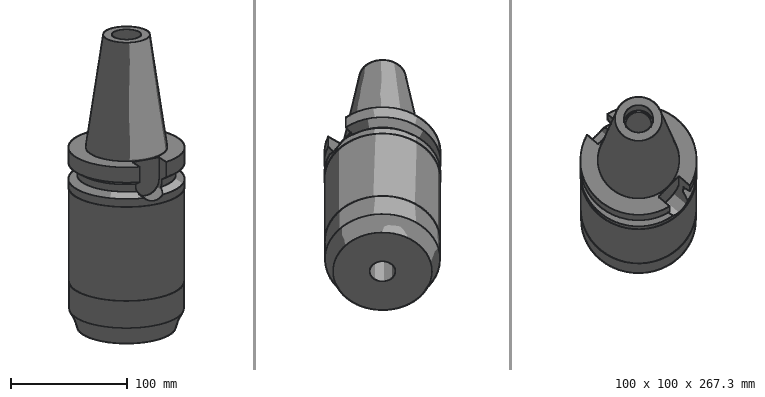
import cadquery as cq

total_height = 267.3
taper_length = 101.8
flange_top = 164.0
flange_bottom = 150.2
neck_top = 145.7
neck_bottom = 139.0
band_top = 135.3
band_bottom = 127.8
nut_top = 41.7
nose_top = 16.8

gauge_radius = 35.0
taper_ratio = 7 / 24
flange_radius = 50.0
neck_radius = 42.5
body_radius = 49.7
nut_radius = 49.5
nose_radius = 42.5
nose_hollow = 0.8

bore_radius = 11.0
counterbore_radius = 12.5
counterbore_depth = 13.0

slot_width = 25.7
slot_bottom = 131.5
slot_floor_distance = 35.3

gauge_height = total_height - taper_length
tip_radius = gauge_radius - taper_length * taper_ratio / 2


def make_body():
    """Revolve the outer profile about Z."""
    nose_middle = ((nose_radius + nut_radius) / 2 - nose_hollow, nose_top / 2)
    return (
        cq.Workplane("XZ")
        .lineTo(nose_radius, 0)
        .threePointArc(nose_middle, (nut_radius, nose_top))
        .lineTo(nut_radius, nut_top)
        .lineTo(body_radius, nut_top)
        .lineTo(body_radius, band_bottom)
        .lineTo(flange_radius, band_bottom)
        .lineTo(flange_radius, band_top)
        .lineTo(neck_radius, neck_bottom)
        .lineTo(neck_radius, neck_top)
        .lineTo(flange_radius, flange_bottom)
        .lineTo(flange_radius, flange_top)
        .lineTo(gauge_radius, flange_top)
        .lineTo(gauge_radius, gauge_height)
        .lineTo(tip_radius, total_height)
        .lineTo(0, total_height)
        .close()
        .revolve(360, (0, 0, 0), (0, 1, 0))
    )


def make_drive_slot(side):
    """Round-bottomed slot cutter on the +X (side=1) or -X (side=-1) flank."""
    half_width = slot_width / 2
    round_center = slot_bottom + half_width
    return (
        cq.Workplane("YZ", origin=(side * slot_floor_distance, 0, 0))
        .moveTo(-half_width, flange_top)
        .lineTo(-half_width, round_center)
        .threePointArc((0, slot_bottom), (half_width, round_center))
        .lineTo(half_width, flange_top)
        .close()
        .extrude(side * flange_radius)
    )


def make_bore():
    """Through bore with a counterbore at the small end of the taper."""
    bore = cq.Workplane("XY").circle(bore_radius).extrude(total_height)
    counterbore = (
        cq.Workplane("XY", origin=(0, 0, total_height))
        .circle(counterbore_radius)
        .extrude(-counterbore_depth)
    )
    return bore.union(counterbore)


result = make_body().cut(make_bore())
for side in (-1, 1):
    result = result.cut(make_drive_slot(side))